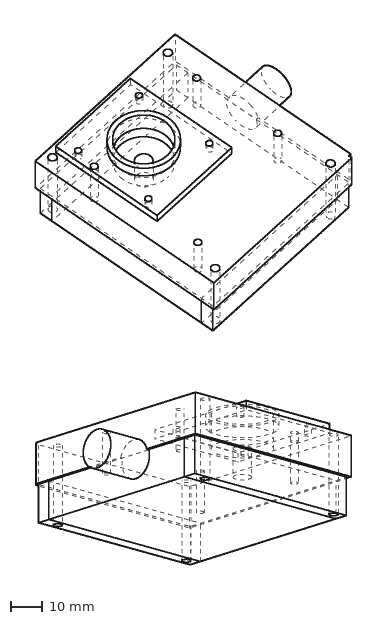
import cadquery as cq

housing_width = 76.0
housing_depth = 68.6
roof_height = 13.9
rail_height = 13.0
rail_width = 4.9
side_inset = 1.3
end_inset = 0.9
roof_top = rail_height + roof_height
lower_depth = housing_depth - 2 * end_inset

mount_hole_diameter = 3.0
mount_spacing_x = 69.1
mount_spacing_y = 56.6
mount_left_margin = 3.2
mount_front_margin = 4.8
mount_center = (mount_left_margin + mount_spacing_x / 2, mount_front_margin + mount_spacing_y / 2)

screw_hole_diameter = 2.5
rear_screw_y = 59.65
flange_screw_position = (17.3, 9.0)
screw_positions = [(16.95, rear_screw_y), (51.4, rear_screw_y), (61.3, 9.15), flange_screw_position]

lens_axis = (24.15, 25.4)
bore_diameter = 20.0
bore_floor_depth = 4.3
center_hole_diameter = 6.0

overall_height = 33.8
flange_width = 43.1
flange_depth = 36.7
flange_thickness = 3.05
ring_diameter = 23.6
ring_height = overall_height - roof_top - flange_thickness
flange_hole_diameter = 2.3
flange_hole_spacing = 29.9

overall_depth = 84.7
tube_diameter = 13.0
tube_center_x = 29.1
tube_center_z = 11.0

insert_width = housing_width - 2 * (side_inset + rail_width)


def block(width, depth, height, corner):
    """Box whose left, front, bottom corner is at the given point."""
    return cq.Workplane("XY").box(width, depth, height, centered=False).translate(corner)


def cylinders(positions, diameter, bottom, top):
    """Vertical cylinders between two heights, at the given XY positions."""
    return (
        cq.Workplane("XY", origin=(0, 0, bottom))
        .pushPoints(positions)
        .circle(diameter / 2)
        .extrude(top - bottom)
    )


def corner_positions(center, spacing_x, spacing_y):
    """The four corners of a rectangle about a center point."""
    return [
        (center[0] + sx * spacing_x / 2, center[1] + sy * spacing_y / 2)
        for sx in (-1, 1)
        for sy in (-1, 1)
    ]


def make_tube():
    """Solid cable tube from the rear face of the lower part to the rearmost plane."""
    tube_start = housing_depth - end_inset
    tube_plane = cq.Plane(
        origin=(tube_center_x, tube_start, tube_center_z), xDir=(1, 0, 0), normal=(0, 1, 0)
    )
    return cq.Workplane(tube_plane).circle(tube_diameter / 2).extrude(overall_depth - tube_start)


def make_housing():
    body = block(housing_width, housing_depth, roof_height, (0, 0, rail_height))

    relief_corner = (housing_width - side_inset, housing_depth - end_inset, rail_height)
    body = body.cut(block(side_inset, end_inset, roof_height, relief_corner))

    for rail_x in (side_inset, housing_width - side_inset - rail_width):
        body = body.union(block(rail_width, lower_depth, rail_height, (rail_x, end_inset, 0)))

    body = body.union(make_tube())

    mount_positions = corner_positions(mount_center, mount_spacing_x, mount_spacing_y)
    body = body.cut(cylinders(mount_positions, mount_hole_diameter, 0, roof_top))
    body = body.cut(cylinders(screw_positions, screw_hole_diameter, rail_height, roof_top))

    bore_floor = roof_top - bore_floor_depth
    body = body.cut(cylinders([lens_axis], bore_diameter, bore_floor, roof_top))
    return body.cut(cylinders([lens_axis], center_hole_diameter, rail_height, bore_floor))


def make_flange():
    plate_top = roof_top + flange_thickness
    ring_top = plate_top + ring_height
    plate_corner = (lens_axis[0] - flange_width / 2, lens_axis[1] - flange_depth / 2, roof_top)

    body = block(flange_width, flange_depth, flange_thickness, plate_corner)
    body = body.union(cylinders([lens_axis], ring_diameter, plate_top, ring_top))
    body = body.cut(cylinders([lens_axis], bore_diameter, roof_top, ring_top))

    hole_positions = corner_positions(lens_axis, flange_hole_spacing, flange_hole_spacing)
    body = body.cut(cylinders(hole_positions, flange_hole_diameter, roof_top, plate_top))
    return body.cut(cylinders([flange_screw_position], screw_hole_diameter, roof_top, plate_top))


def make_insert():
    return block(insert_width, lower_depth, rail_height, (side_inset + rail_width, end_inset, 0))


housing = make_housing()
flange = make_flange()
insert = make_insert()

result = cq.Compound.makeCompound([housing.val(), flange.val(), insert.val()])